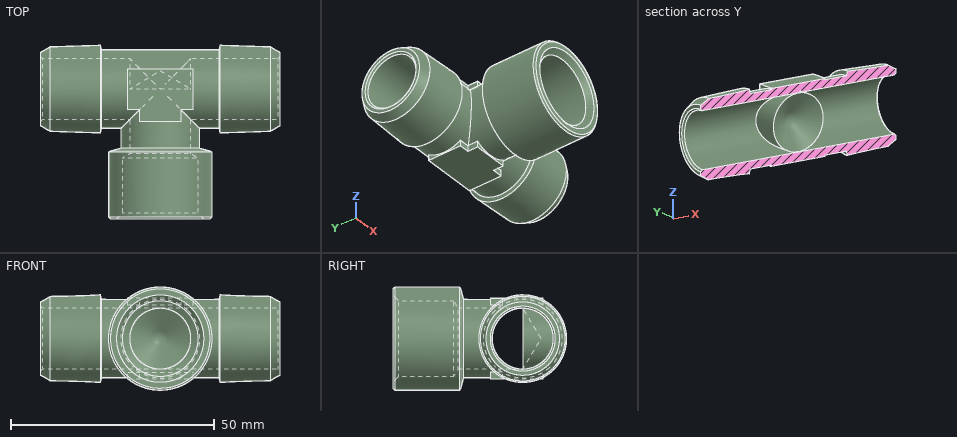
import cadquery as cq
import math

run_length = 59.0
branch_reach = 32.0
body_radius = 9.7
passage_radius = 7.5
back_cone_angle = 15.0

male_length = 14.75
male_lead_length = 2.4
male_lead_angle = 30.0
male_gauge_radius = 10.82
thread_taper = 1 / 16
male_mouth_chamfer = 0.5

socket_radius = 12.75
socket_length = 17.45
socket_end_chamfer = 0.5
socket_back_radius = 12.25
socket_rim_angle = 30.0
socket_bore_radius = 9.32
socket_bore_depth = 15.0
socket_mouth_radius = 10.75
drill_point_angle = 118.0

pad_height = 10.0
pad_root_height = 8.0
pad_width = 16.2
pad_stem_width = 10.2
pad_half_depth = 5.0
pad_stem_reach = 8.0


def lathe_x(profile):
    """Revolve (x, radius) points about the X axis."""
    return cq.Workplane("XY").polyline(profile).close().revolve(360, (0, 0, 0), (1, 0, 0))


def lathe_branch(profile):
    """Revolve (distance from the run axis, radius) points about the branch axis."""
    points = [(radius, -distance) for distance, radius in profile]
    return cq.Workplane("XY").polyline(points).close().revolve(360, (0, 0, 0), (0, 1, 0))


def make_run():
    end = run_length / 2
    lead = end - male_lead_length
    back = end - male_length
    back_slope = math.tan(math.radians(back_cone_angle))
    shoulder = back - (male_gauge_radius - body_radius) * back_slope
    thread_radius = male_gauge_radius - (lead - back) * thread_taper / 2
    tip_radius = thread_radius - male_lead_length * math.tan(math.radians(male_lead_angle))
    right_half = [
        (shoulder, body_radius),
        (back, male_gauge_radius),
        (lead, thread_radius),
        (end, tip_radius),
    ]
    left_half = [(-x, radius) for x, radius in reversed(right_half)]
    return lathe_x([(-end, 0)] + left_half + right_half + [(end, 0)])


def make_branch():
    back = branch_reach - socket_length
    back_slope = math.tan(math.radians(back_cone_angle))
    rim_slope = math.tan(math.radians(socket_rim_angle))
    rim_start = back + (socket_back_radius - body_radius) * back_slope
    rim_end = rim_start + (socket_radius - socket_back_radius) * rim_slope
    return lathe_branch([
        (0, 0),
        (0, body_radius),
        (back, body_radius),
        (rim_start, socket_back_radius),
        (rim_end, socket_radius),
        (branch_reach - socket_end_chamfer, socket_radius),
        (branch_reach, socket_radius - socket_end_chamfer),
        (branch_reach, 0),
    ])


def make_pad(bottom):
    wide = pad_width / 2
    stem = pad_stem_width / 2
    return (
        cq.Workplane("XY")
        .workplane(offset=bottom)
        .polyline([
            (-wide, pad_half_depth),
            (wide, pad_half_depth),
            (wide, -pad_half_depth),
            (stem, -pad_half_depth),
            (stem, -pad_stem_reach),
            (-stem, -pad_stem_reach),
            (-stem, -pad_half_depth),
            (-wide, -pad_half_depth),
        ])
        .close()
        .extrude(pad_height - pad_root_height)
    )


def make_run_passage():
    """Through bore of the run, interrupted by a round core behind the branch axis."""
    end = run_length / 2
    mouth_radius = passage_radius + male_mouth_chamfer
    chamfer_start = end - male_mouth_chamfer
    bore = lathe_x([
        (-end, 0),
        (-end, mouth_radius),
        (-chamfer_start, passage_radius),
        (chamfer_start, passage_radius),
        (end, mouth_radius),
        (end, 0),
    ])
    core = cq.Workplane("XZ").circle(passage_radius).extrude(-body_radius)
    return bore.cut(core)


def make_branch_passage():
    """Stepped blind bore of the branch, ending in a drill point."""
    drill_slope = math.tan(math.radians(drill_point_angle / 2))
    point_depth = passage_radius / drill_slope
    bore_bottom = branch_reach - socket_bore_depth
    step_depth = (socket_bore_radius - passage_radius) / drill_slope
    mouth_depth = socket_mouth_radius - socket_bore_radius
    return lathe_branch([
        (-point_depth, 0),
        (0, passage_radius),
        (bore_bottom - step_depth, passage_radius),
        (bore_bottom, socket_bore_radius),
        (branch_reach - mouth_depth, socket_bore_radius),
        (branch_reach, socket_mouth_radius),
        (branch_reach, 0),
    ])


body = make_run().union(make_branch())
for pad_bottom in (pad_root_height, -pad_height):
    body = body.union(make_pad(pad_bottom))

result = body.cut(make_run_passage()).cut(make_branch_passage())